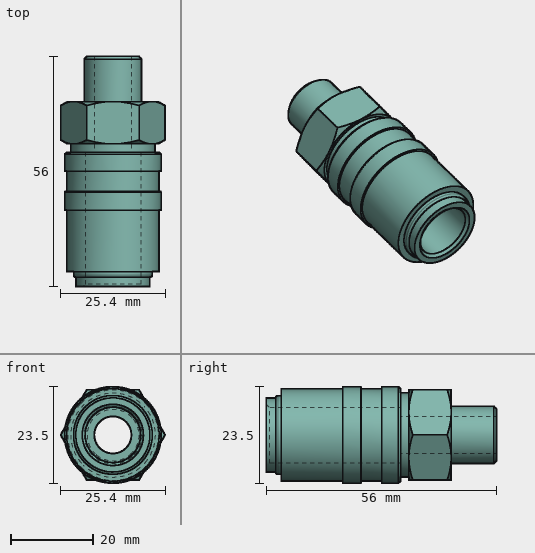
import cadquery as cq
import math


stem_radius = 7.0
neck_radius = 10.25
body_radius = 11.25
band_radius = 11.75
ring_radius = 9.6
nose_radius = 9.0
bore_radius = 4.5
socket_radius = 6.7
socket_mouth_radius = 7.45

hex_across_flats = 22.0
hex_corner_angle = math.radians(30)
hex_across_corners = hex_across_flats / math.cos(hex_corner_angle)

total_length = 56.0
nose_end = 2.3
ring_end = 3.65
lower_band_start = 18.6
lower_band_end = 23.1
upper_band_start = 28.05
upper_band_end = 32.65
hex_start = 34.65
hex_end = 44.95
socket_depth = upper_band_end

stem_chamfer = 0.7
lower_band_chamfer = 0.15
upper_band_chamfer = band_radius - body_radius
ring_fillet = ring_radius - nose_radius
mouth_chamfer = socket_mouth_radius - socket_radius
hex_chamfer_angle = math.radians(30)


def cylinder(radius, start, end):
    """Solid cylinder on the Y axis between two stations."""
    return cq.Workplane("XZ", origin=(0, start, 0)).circle(radius).extrude(start - end)


def make_hexagon():
    """Hexagon with corners on the X axis and conical chamfers at both ends."""
    corner_radius = hex_across_corners / 2
    flat_radius = hex_across_flats / 2
    chamfer_drop = (corner_radius - flat_radius) * math.tan(hex_chamfer_angle)
    prism = (
        cq.Workplane("XZ", origin=(0, hex_start, 0))
        .polygon(6, hex_across_corners)
        .extrude(hex_start - hex_end)
    )
    chamfer_envelope = (
        cq.Workplane("XY")
        .moveTo(0, hex_start)
        .lineTo(flat_radius, hex_start)
        .lineTo(corner_radius, hex_start + chamfer_drop)
        .lineTo(corner_radius, hex_end - chamfer_drop)
        .lineTo(flat_radius, hex_end)
        .lineTo(0, hex_end)
        .close()
        .revolve(360, (0, 0, 0), (0, 1, 0))
    )
    return prism.intersect(chamfer_envelope)


def make_sleeve():
    """Nose, retaining ring, sleeve with two grip bands, and neck."""
    nose = cylinder(nose_radius, 0, ring_end)
    ring = cylinder(ring_radius, nose_end, ring_end)
    ring = ring.faces("<Y").edges().fillet(ring_fillet)
    body = cylinder(body_radius, ring_end, upper_band_end)
    lower_band = cylinder(band_radius, lower_band_start, lower_band_end)
    lower_band = lower_band.faces(">Y").edges().chamfer(lower_band_chamfer)
    upper_band = cylinder(band_radius, upper_band_start, upper_band_end)
    upper_band = upper_band.faces(">Y").edges().chamfer(upper_band_chamfer)
    neck = cylinder(neck_radius, upper_band_end, hex_start)
    return nose.union(ring).union(body).union(lower_band).union(upper_band).union(neck)


def make_stem():
    """Plain stem with a chamfered end."""
    return cylinder(stem_radius, hex_end, total_length).faces(">Y").edges().chamfer(stem_chamfer)


def make_passage():
    """Through bore opening into the socket, which has a chamfered mouth."""
    bore = cylinder(bore_radius, 0, total_length)
    socket = cylinder(socket_radius, 0, socket_depth)
    mouth = cq.Workplane("XY").add(
        cq.Solid.makeCone(
            socket_mouth_radius, socket_radius, mouth_chamfer, cq.Vector(0, 0, 0), cq.Vector(0, 1, 0)
        )
    )
    return bore.union(socket).union(mouth)


result = make_sleeve().union(make_hexagon()).union(make_stem()).cut(make_passage())